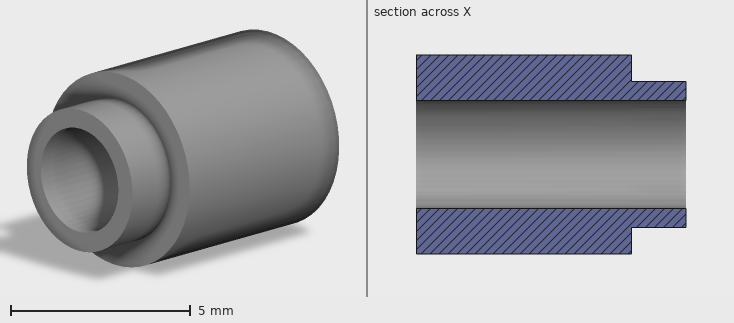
import cadquery as cq

body_diameter = 5.56
body_length = 6.0
spigot_diameter = 4.09
spigot_length = 1.53
bore_diameter = 3.0

total_length = body_length + spigot_length


def cylinder_along_y(diameter, start_y, length):
    """Solid cylinder centred on the Y axis, running from start_y toward +Y."""
    axis_start = cq.Vector(0, start_y, 0)
    axis_direction = cq.Vector(0, 1, 0)
    return cq.Workplane(cq.Solid.makeCylinder(diameter / 2, length, axis_start, axis_direction))


spigot = cylinder_along_y(spigot_diameter, -spigot_length, spigot_length)
body = cylinder_along_y(body_diameter, 0, body_length)

bore = cylinder_along_y(bore_diameter, -spigot_length, total_length)

result = body.union(spigot).cut(bore)